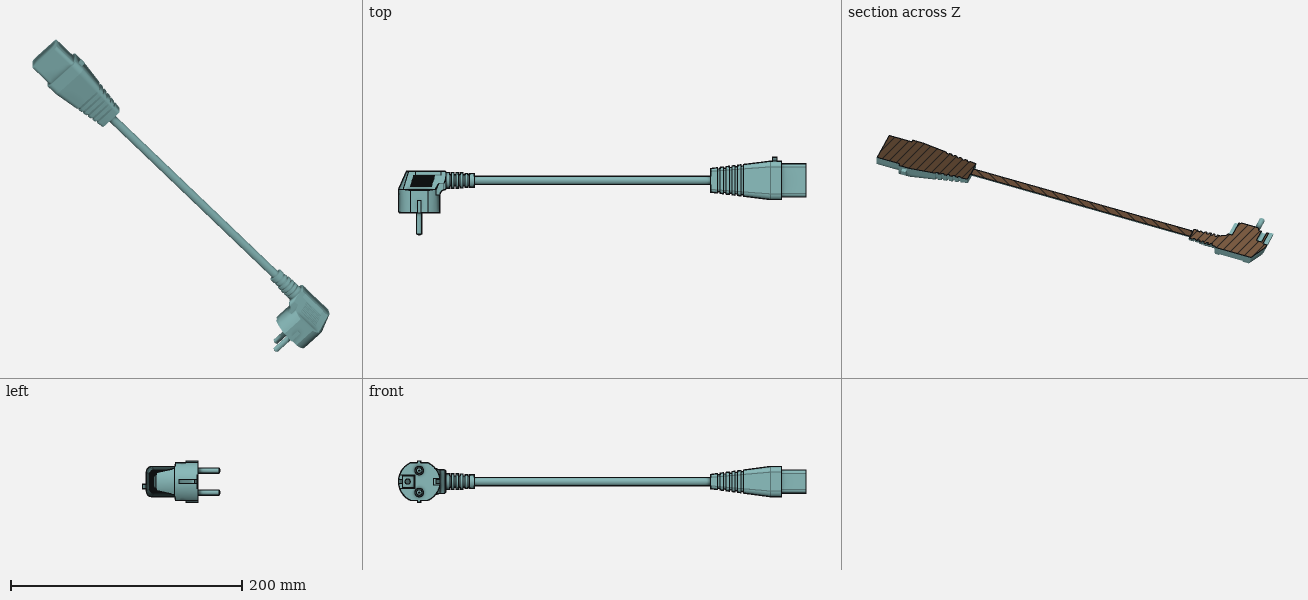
import cadquery as cq


plug_radius = 18.0
flat_height = 16.4
base_depth = 19.5
rib_width = 3.0
rib_length = 10.6

bevel_end = 20.5
back_end = 36.3
back_lean = 7.0
back_half_front = 11.5
back_half_rear = 8.0
cord_end_x = 23.3
cord_end_y = 20.0
cord_end_half = 10.4
cord_end_chamfer = 1.2
cord_end_round = 2.5
fairing_y = 15.5
fairing_top_x = 21.5
fairing_middle = (19.2, 18.6)

step_left = -3.2
step_right = 18.8
step_front_y = 33.0
step_depth = 1.0

grip_first_y = 23.0
grip_last_y = 32.2
grip_pitch = 1.1
grip_groove = 0.55
grip_depth = 0.5
grip_left = -7.4
grip_length = 18.0
grip_slant = 0.3

pin_diameter = 4.8
pin_length = 19.0
pin_spacing = 19.0
pin_tip_length = 1.9
pin_tip_inset = 1.0
pin_recess_diameter = 7.4
pin_recess_depth = 1.0
earth_hole_x = -10.0
earth_hole_diameter = 4.6
earth_hole_depth = 15.0
earth_recess_right = -3.7
earth_recess_half = 5.9
earth_recess_depth = 0.8
earth_pocket_lip = 1.0
earth_pocket_half = 4.9
earth_pocket_depth = 3.0
clip_slot_floor = 14.4
clip_slot_width = 3.2
clip_mouth_floor = 12.2
clip_mouth_width = 5.5
clip_slot_length = 16.5

cord_y = 28.2
cord_diameter = 7.3

relief_core_radius = 5.0
relief_rings = [
    (23.3, 26.5, 7.0),
    (27.8, 30.2, 7.0),
    (31.6, 33.9, 7.0),
    (35.4, 37.9, 6.7),
    (39.7, 42.0, 6.1),
    (43.7, 47.7, 6.1),
]
relief_end = relief_rings[-1][1]

connector_start = 252.0
collar_start = 303.8
collar_end = 313.6
nose_end = 334.65
start_half_y, start_half_z, start_corner = 10.3, 6.2, 2.5
collar_half_y, collar_half_z, collar_corner = 16.7, 13.2, 5.0
nose_half_y, nose_half_z, nose_corner = 14.5, 10.1, 3.1
groove_count = 5
groove_first = 258.2
groove_pitch = 5.05
groove_width = 2.1
groove_depth = 1.2

button_size = 4.0
button_x = 307.6
button_z = -4.3
button_top = 48.22
button_recess = 2.0


def along_y(y):
    """A sketch plane with X and Z as its axes, at the given Y and facing -Y."""
    return cq.Workplane("XZ", origin=(0, y, 0))


def along_x(x):
    """A sketch plane with Y and Z as its axes, centred on the cord, facing +X."""
    return cq.Workplane("YZ", origin=(x, cord_y, 0))


def block(x0, x1, y0, y1, z0, z1):
    """An axis-aligned box between the given limits."""
    return cq.Workplane("XY").box(x1 - x0, y1 - y0, z1 - z0, centered=False).translate((x0, y0, z0))


def plug_base():
    base = along_y(0).circle(plug_radius).extrude(-base_depth)
    base = base.intersect(
        block(-plug_radius, plug_radius, 0, base_depth, -flat_height, flat_height)
    )
    half_rib = rib_width / 2
    ribs = block(-half_rib, half_rib, 0, rib_length, -plug_radius, plug_radius)
    return base.union(ribs)


def plug_back():
    side = (
        cq.Workplane("XY")
        .moveTo(-plug_radius, fairing_y)
        .lineTo(-plug_radius, back_end)
        .lineTo(cord_end_x, back_end)
        .lineTo(cord_end_x, cord_end_y)
        .lineTo(fairing_top_x, cord_end_y)
        .threePointArc(fairing_middle, (plug_radius, fairing_y))
        .close()
        .extrude(plug_radius, both=True)
        .faces(">X")
        .chamfer(cord_end_chamfer)
    )
    taper = (
        cq.Workplane("YZ")
        .polyline(
            [
                (fairing_y, -flat_height),
                (base_depth, -flat_height),
                (bevel_end, -back_half_front),
                (back_end, -back_half_rear),
                (back_end, back_half_rear),
                (bevel_end, back_half_front),
                (base_depth, flat_height),
                (fairing_y, flat_height),
            ]
        )
        .close()
        .extrude(cord_end_x + plug_radius, both=True)
    )
    straight = along_y(fairing_y).circle(plug_radius).extrude(fairing_y - bevel_end)
    leaning = (
        along_y(bevel_end)
        .circle(plug_radius)
        .workplane(offset=bevel_end - back_end)
        .center(back_lean, 0)
        .circle(plug_radius)
        .loft()
    )
    arm = block(0, cord_end_x, fairing_y, back_end, -cord_end_half, cord_end_half)
    arm = arm.faces(">X").edges("|Y").fillet(cord_end_round)
    return side.intersect(taper).intersect(straight.union(leaning).union(arm))


def back_slope():
    """Drop of the plug back's wide faces per millimetre along Y."""
    return (back_half_front - back_half_rear) / (back_end - bevel_end)


def face_height(y):
    """Half height of the plug back at the given Y."""
    return back_half_front - back_slope() * (y - bevel_end)


def rear_steps():
    wedge = (
        cq.Workplane("YZ", origin=(step_left, 0, 0))
        .polyline(
            [
                (step_front_y, plug_radius),
                (step_front_y, face_height(step_front_y)),
                (back_end, back_half_rear - step_depth),
                (back_end, plug_radius),
            ]
        )
        .close()
        .extrude(step_right - step_left)
    )
    return wedge.union(wedge.mirror("XY"))


def grip_grooves():
    """Shallow slanted rows of grooves that follow the tapering faces."""
    rows = int((grip_last_y - grip_first_y) / grip_pitch) + 1
    grooves = cq.Workplane("XY")
    for row in range(rows):
        y = grip_first_y + row * grip_pitch
        x = grip_left + grip_slant * (y - grip_first_y)
        floor = face_height(y) - grip_depth
        for bottom, top in ((floor, plug_radius), (-plug_radius, -floor)):
            grooves.add(block(x, x + grip_length, y, y + grip_groove, bottom, top))
    return grooves


def strain_relief():
    relief = along_x(cord_end_x).circle(relief_core_radius).extrude(relief_end - cord_end_x)
    for start, end, radius in relief_rings:
        relief = relief.union(along_x(start).circle(radius).extrude(end - start))
    return relief


def earth_contacts():
    """Everything cut into the plug for the earth contacts."""
    recess = block(
        -plug_radius, earth_recess_right, 0, earth_recess_depth, -earth_recess_half, earth_recess_half
    )
    pocket = block(
        -clip_slot_floor,
        earth_recess_right - earth_pocket_lip,
        0,
        earth_pocket_depth,
        -earth_pocket_half,
        earth_pocket_half,
    )
    hole = along_y(0).center(earth_hole_x, 0).circle(earth_hole_diameter / 2).extrude(-earth_hole_depth)
    cutter = recess.union(pocket).union(hole)
    half_slot = clip_slot_width / 2
    for left, right in ((-plug_radius, -clip_slot_floor), (clip_slot_floor, plug_radius)):
        cutter = cutter.union(block(left, right, 0, clip_slot_length, -half_slot, half_slot))
    half_mouth = clip_mouth_width / 2
    mouth = block(clip_mouth_floor, plug_radius, 0, earth_recess_depth, -half_mouth, half_mouth)
    return cutter.union(mouth)


def make_plug():
    plug = plug_base().union(plug_back()).union(strain_relief())
    for groove in grip_grooves().vals():
        plug = plug.cut(cq.Workplane(groove))
    plug = plug.cut(rear_steps()).cut(earth_contacts())
    pin_spots = [(0, -pin_spacing / 2), (0, pin_spacing / 2)]
    recesses = along_y(0).pushPoints(pin_spots).circle(pin_recess_diameter / 2).extrude(-pin_recess_depth)
    pins = (
        along_y(pin_recess_depth)
        .pushPoints(pin_spots)
        .circle(pin_diameter / 2)
        .extrude(pin_recess_depth + pin_length)
        .faces("<Y")
        .chamfer(pin_tip_inset, pin_tip_length)
    )
    return plug.cut(recesses).union(pins)


def make_cord():
    return along_x(relief_end).circle(cord_diameter / 2).extrude(connector_start - relief_end)


def rounded_section(x, half_y, half_z, corner):
    return cq.Sketch().rect(2 * half_y, 2 * half_z).vertices().fillet(corner).moved(
        cq.Location(cq.Vector(0, 0, x))
    )


def tapered_grip(inset):
    """The connector's tapering grip, made smaller all round by the inset."""
    sections = [
        rounded_section(0, start_half_y - inset, start_half_z - inset, start_corner - inset),
        rounded_section(
            collar_start - connector_start,
            collar_half_y - inset,
            collar_half_z - inset,
            collar_corner - inset,
        ),
    ]
    return along_x(connector_start).placeSketch(*sections).loft()


def straight_block(start, end, half_y, half_z, corner):
    return along_x(start).placeSketch(rounded_section(0, half_y, half_z, corner)).extrude(end - start)


def make_button():
    button = cq.Workplane("XZ", origin=(button_x, button_top, button_z))
    height = button_top - (cord_y + collar_half_y) + button_recess
    return button.rect(button_size, button_size).extrude(height)


def make_connector():
    grip = tapered_grip(0)
    core = tapered_grip(groove_depth)
    for index in range(groove_count):
        start = groove_first + index * groove_pitch
        slab = along_x(start).rect(3 * collar_half_y, 3 * collar_half_z).extrude(groove_width)
        grip = grip.cut(slab.cut(core))
    collar = straight_block(collar_start, collar_end, collar_half_y, collar_half_z, collar_corner)
    nose = straight_block(collar_end, nose_end, nose_half_y, nose_half_z, nose_corner)
    return grip.union(collar).union(nose).cut(make_button())


plug = make_plug()
cord = make_cord()
connector = make_connector()
button = make_button()

result = cq.Compound.makeCompound([plug.val(), cord.val(), connector.val(), button.val()])